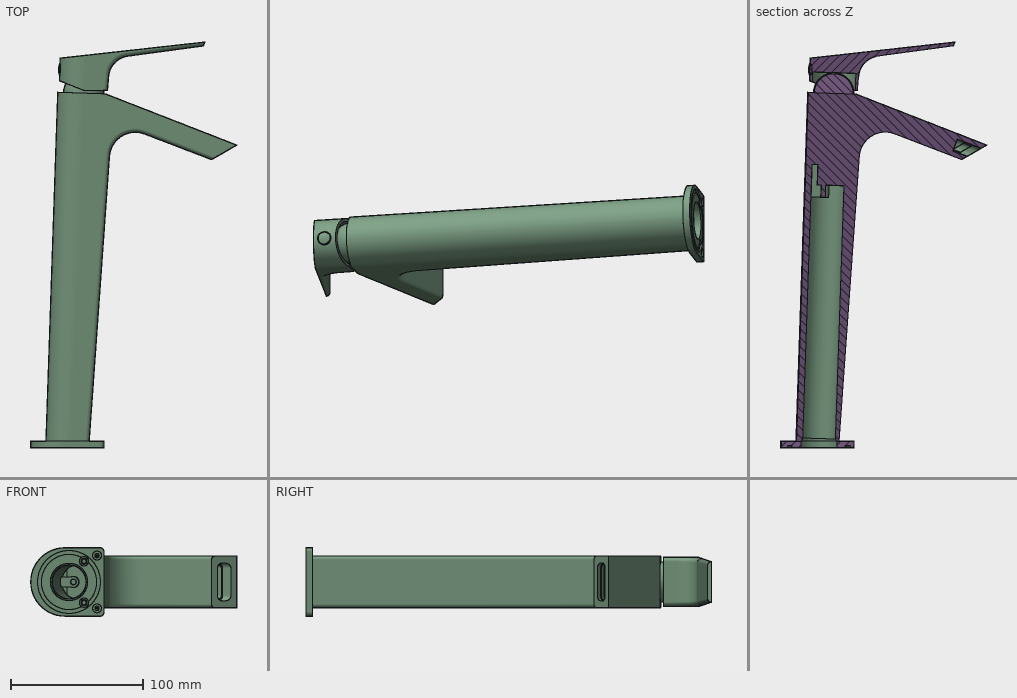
import cadquery as cq
import math


plate_width = 52.0
plate_length = 55.5
plate_thickness = 5.2
plate_corner_radius = 3.0
plate_bore_diameter = 28.2
bore_x = 3.0
seal_groove_outer_diameter = 47.5
seal_groove_inner_diameter = 41.7
seal_groove_depth = 1.5
corner_hole_x = 24.3
corner_hole_z = 20.0
corner_hole_steps = ((6.8, 1.2), (3.5, 2.5), (1.3, 3.7))
column_hole_x = 14.5
column_hole_z = 15.7
column_hole_steps = ((7.0, 2.5), (4.5, 3.5), (3.5, 4.3))

column_radius = 19.5
column_base_center_x = 5.2
column_height = 263.0
column_lean_run = 9.0
column_front_base_x = 18.5
column_mouth_diameter = 26.0
column_mouth_depth = 1.8
column_bore_diameter = 25.5
column_bore_depth = 193.5
lean = math.atan(column_lean_run / column_height)
axis_x = math.sin(lean)
axis_y = math.cos(lean)
column_length = column_height / axis_y

spout_root_x = 30.7
spout_tip_x = 130.0
spout_tip_y = 229.0
spout_heel_x = 110.8
spout_heel_y = 218.0
crook_x = 35.5
crook_y = 246.8
crook_radius = 19.5
underside_edge_radius = 2.8
spout_run = (spout_heel_x - crook_x, spout_heel_y - crook_y)
spout_length = math.hypot(*spout_run)
spout_direction = (spout_run[0] / spout_length, spout_run[1] / spout_length, 0)

outlet_width = 28.5
outlet_height = 9.2
outlet_depth = 15.5
outlet_corner_radius = 4.0
aerator_recess = 6.8
aerator_length = 6.0
aerator_wall = 1.0

post_offset = -3.0
post_diameter = 8.3
post_hole_diameter = 4.3
post_length = 9.2
web_width = 7.5
side_pocket_offset = -8.0
side_pocket_depth = 15.5

dome_radius = 15.5

handle_radius = 18.7
handle_gap = 2.0
handle_front_x = 32.2
handle_back_x = -9.2
handle_slant_slope = 0.39
handle_tip_x = 106.0
handle_tip_y = 307.0
handle_tip_half_width = 15.2
handle_top_slope = 0.111
lever_tip_thickness = 3.0
lever_tip_setback = 1.2
handle_crook_x = 34.23
handle_crook_y = 294.5
handle_crook_radius = 16.5
handle_edge_radius = 2.8
handle_cavity_radius = 16.5

plug_y = 285.8
plug_hole_diameter = 10.0
plug_diameter = 9.5
plug_hole_depth = 1.5
plug_bulge = 1.0


def prism(points, half_width):
    """Outline in X and Y, extruded to both sides of Z = 0."""
    return cq.Workplane("XY").polyline(points).close().extrude(half_width, both=True)


def column_point(distance, offset=0):
    """X and Y of the point at a distance along the column axis and an offset towards the front."""
    return (
        column_base_center_x + distance * axis_x + offset * axis_y,
        plate_thickness + distance * axis_y - offset * axis_x,
    )


def column_plane(distance, offset=0):
    """Plane square to the leaning column axis, with local x towards the front and local y along -Z."""
    x, y = column_point(distance, offset)
    return cq.Workplane(cq.Plane(origin=(x, y, 0), xDir=(axis_y, -axis_x, 0), normal=(axis_x, axis_y, 0)))


def plate_plane(height):
    """Plane parallel to the plate, facing up, with local y along -Z."""
    return cq.Workplane(cq.Plane(origin=(0, height, 0), xDir=(1, 0, 0), normal=(0, 1, 0)))


def make_base_plate():
    """D-shaped plate with a bore, a seal groove and two pairs of stepped blind holes."""
    radius = plate_width / 2
    front = plate_length - radius
    plate = (
        plate_plane(0)
        .moveTo(front, radius)
        .lineTo(0, radius)
        .threePointArc((-radius, 0), (0, -radius))
        .lineTo(front, -radius)
        .close()
        .extrude(plate_thickness)
        .edges("|Y and >X")
        .fillet(plate_corner_radius)
    )
    bore = plate_plane(0).center(bore_x, 0).circle(plate_bore_diameter / 2).extrude(plate_thickness)
    groove = (
        plate_plane(0)
        .center(bore_x, 0)
        .circle(seal_groove_outer_diameter / 2)
        .circle(seal_groove_inner_diameter / 2)
        .extrude(seal_groove_depth)
    )
    plate = plate.cut(bore).cut(groove)
    for x, z, steps in (
        (corner_hole_x, corner_hole_z, corner_hole_steps),
        (column_hole_x, column_hole_z, column_hole_steps),
    ):
        for diameter, depth in steps:
            holes = plate_plane(0).pushPoints([(x, -z), (x, z)]).circle(diameter / 2).extrude(depth)
            plate = plate.cut(holes)
    return plate


def outlet_block(start, end, margin=0):
    """Block along the spout, between two depths behind the middle of its end face."""
    middle_x = (spout_tip_x + spout_heel_x) / 2
    middle_y = (spout_tip_y + spout_heel_y) / 2
    origin = (middle_x - end * spout_direction[0], middle_y - end * spout_direction[1], 0)
    block = (
        cq.Workplane(cq.Plane(origin=origin, xDir=(0, 0, 1), normal=spout_direction))
        .rect(outlet_width - 2 * margin, outlet_height - 2 * margin)
        .extrude(end - start)
    )
    along_spout = cq.selectors.ParallelDirSelector(cq.Vector(*spout_direction))
    return block.edges(along_spout).fillet(outlet_corner_radius - margin)


def column_bore():
    """Space inside the column: a stepped bore that ends around a valve post and its web."""
    axis_offset = bore_x - column_base_center_x
    radius = column_bore_diameter / 2
    mouth_start = column_plane(-radius, axis_offset)
    mouth = mouth_start.circle(column_mouth_diameter / 2).extrude(radius + column_mouth_depth)
    bore = column_plane(0, axis_offset).circle(radius).extrude(column_bore_depth)
    pocket = (
        column_plane(column_bore_depth, axis_offset)
        .circle(radius)
        .extrude(side_pocket_depth)
        .intersect(
            column_plane(column_bore_depth, axis_offset + side_pocket_offset - radius)
            .rect(2 * radius, 2 * radius)
            .extrude(side_pocket_depth)
        )
    )
    post_base = column_plane(column_bore_depth - post_length, axis_offset + post_offset)
    post = post_base.circle(post_diameter / 2).extrude(post_length)
    post_hole = post_base.circle(post_hole_diameter / 2).extrude(post_length)
    web = post_base.center(-radius, 0).rect(2 * radius, web_width).extrude(post_length + side_pocket_depth)
    return mouth.union(bore).union(pocket).cut(post.union(web)).union(post_hole)


def make_body():
    """Leaning column with a round back, and the spout that branches from its top."""
    base_y = plate_thickness
    top_center_x = column_point(column_length)[0]
    root_offset = (spout_root_x - top_center_x) / axis_y
    back_base_x = column_base_center_x - column_radius / axis_y
    profile = prism(
        [
            (back_base_x, base_y),
            (column_front_base_x, base_y),
            (crook_x, crook_y),
            (spout_heel_x, spout_heel_y),
            (spout_tip_x, spout_tip_y),
            column_point(column_length, root_offset),
            column_point(column_length, -column_radius),
        ],
        column_radius,
    )
    crook = cq.selectors.NearestToPointSelector((crook_x, crook_y, 0))
    profile = profile.edges("|Z").edges(crook).fillet(crook_radius)
    reach = 2 * spout_tip_x
    round_back = (
        column_plane(-column_radius)
        .moveTo(reach, column_radius)
        .lineTo(0, column_radius)
        .threePointArc((-column_radius, 0), (0, -column_radius))
        .lineTo(reach, -column_radius)
        .close()
        .extrude(column_length + reach)
    )
    body = profile.intersect(round_back)
    front_middle = ((column_front_base_x + crook_x) / 2, (base_y + crook_y) / 2, 0)
    front = body.faces(cq.selectors.NearestToPointSelector(front_middle))
    body = body.newObject(front.edges("not |Z").vals()).fillet(underside_edge_radius)
    return body.cut(column_bore()).cut(outlet_block(-outlet_depth, outlet_depth))


def make_aerator():
    """Frame in the outlet, with both ends parallel to the spout's end face."""
    frame = outlet_block(-outlet_depth, outlet_depth).cut(
        outlet_block(-outlet_depth, outlet_depth, aerator_wall)
    )

    def behind_end(x, y, depth):
        return (x - depth * spout_direction[0], y - depth * spout_direction[1])

    rear = aerator_recess + aerator_length
    slice_block = prism(
        [
            behind_end(spout_heel_x, spout_heel_y, aerator_recess),
            behind_end(spout_tip_x, spout_tip_y, aerator_recess),
            behind_end(spout_tip_x, spout_tip_y, rear),
            behind_end(spout_heel_x, spout_heel_y, rear),
        ],
        outlet_width,
    )
    return frame.intersect(slice_block)


def make_dome():
    """Half ball on the column's top, under the handle."""
    dome = column_plane(column_length).sphere(dome_radius)
    return dome.intersect(column_plane(column_length).circle(2 * dome_radius).extrude(2 * dome_radius))


def make_handle():
    """Cap with a round back and a slanted underside, which runs out into a tapered lever."""
    center = column_plane(column_length).plane.origin
    bottom = center.y + handle_gap
    slant_run = center.x - handle_back_x
    profile = prism(
        [
            (center.x, bottom),
            (handle_front_x, bottom),
            (handle_crook_x, handle_crook_y),
            (handle_tip_x - lever_tip_setback, handle_tip_y - lever_tip_thickness),
            (handle_tip_x, handle_tip_y),
            (handle_back_x, handle_tip_y - handle_top_slope * (handle_tip_x - handle_back_x)),
            (handle_back_x, bottom + handle_slant_slope * slant_run),
        ],
        handle_radius,
    )
    crook = cq.selectors.NearestToPointSelector((handle_crook_x, handle_crook_y, 0))
    profile = profile.edges("|Z").edges(crook).fillet(handle_crook_radius)
    reach = handle_tip_x - center.x
    plan = (
        column_plane(column_length)
        .moveTo(reach, handle_tip_half_width)
        .lineTo(0, handle_radius)
        .threePointArc((-handle_radius, 0), (0, -handle_radius))
        .lineTo(reach, -handle_tip_half_width)
        .close()
        .extrude(2 * handle_radius + reach)
    )
    handle = profile.intersect(plan)
    front_middle = ((handle_front_x + handle_crook_x) / 2, (bottom + handle_crook_y) / 2, 0)
    front = handle.faces(cq.selectors.NearestToPointSelector(front_middle))
    handle = handle.newObject(front.edges("not |Z").vals()).fillet(handle_edge_radius)
    cavity = column_plane(column_length).circle(handle_cavity_radius).extrude(dome_radius)
    return handle.cut(cavity).cut(plug_hole())


def plug_plane():
    """Plane square to the plug's axis, at its hole's floor, facing out of the handle's back."""
    distance = (plug_y - plate_thickness) / axis_y
    floor_offset = plug_hole_depth - handle_radius
    origin = column_plane(distance, floor_offset).plane.origin
    return cq.Workplane(cq.Plane(origin=origin, xDir=(0, 0, 1), normal=(-axis_y, axis_x, 0)))


def plug_hole():
    return plug_plane().circle(plug_hole_diameter / 2).extrude(2 * plug_hole_depth)


def make_plug():
    """Round plug with a shallow domed end."""
    edge = plug_hole_depth
    radius = plug_diameter / 2
    return plug_plane().circle(radius).extrude(edge).union(plug_cap(radius, edge))


def plug_cap(radius, edge):
    """Shallow ball segment that closes the plug's outer end."""
    ball_radius = (radius**2 + plug_bulge**2) / (2 * plug_bulge)
    center = plug_plane().workplane(offset=edge + plug_bulge - ball_radius).plane.origin
    ball = cq.Workplane(origin=center).sphere(ball_radius)
    return ball.intersect(plug_plane().workplane(offset=edge).circle(radius).extrude(plug_bulge))


base_plate = make_base_plate()
body = make_body()
aerator = make_aerator()
dome = make_dome()
handle = make_handle()
plug = make_plug()

bodies = [base_plate, body, aerator, dome, handle, plug]
result = cq.Compound.makeCompound([each.val() for each in bodies])